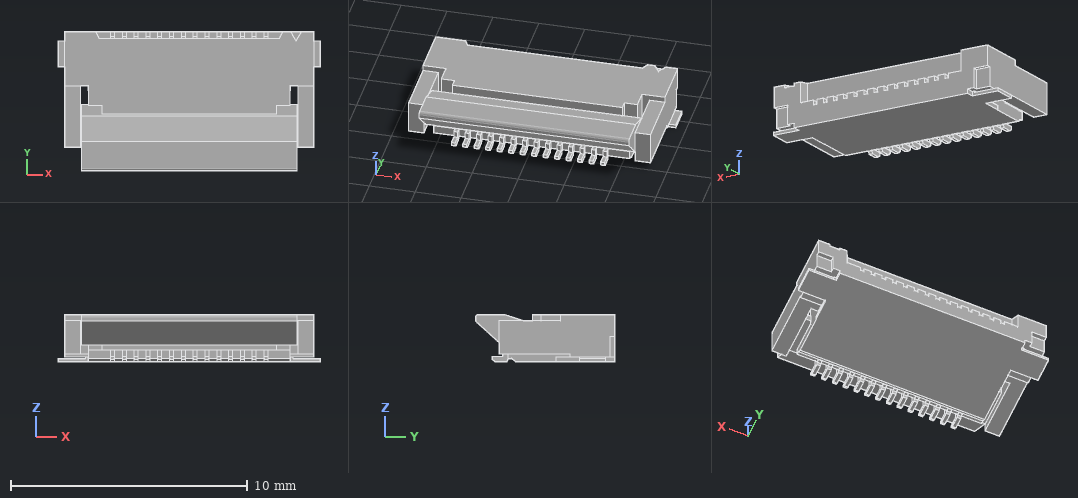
import cadquery as cq


body_width = 10.54
top_z = 2.0
body_front_y = -2.3
body_bottom_z = 0.2
arm_front_y = -4.9
arm_top_z = 1.75
arm_bottom_z = 0.33
arm_bottom_back_y = -1.9
arm_width = 0.67
tongue_width = 8.54
tongue_front_y = -3.13
nose_width = 7.4
nose_front_y = -3.5

floor_width = tongue_width
floor_top_z = 0.51
floor_front_y = -4.52
floor_flat_end_y = -4.2
floor_chamfer_end_y = -4.38
floor_nose_z = 0.148
foundation_width = 8.57
foundation_front_y = -2.5

corner_notch_depth = 0.2
corner_notch_top_z = 1.07

contact_count = 14
contact_pitch = 0.5
contact_width = 0.17
contact_x = [(i - (contact_count - 1) / 2) * contact_pitch for i in range(contact_count)]
contact_under_z = 0.12
riser_front_y = -4.75
foot_heel_y = -4.57
foot_toe_y = -5.07
foot_tip_y = -5.2
foot_top_z = 0.235
foot_bevel_z = 0.105

recess_back_width = 7.92
recess_inner_width = 7.62
recess_depth_y = 0.3
recess_floor_z = corner_notch_top_z
groove_depth = 0.2
groove_ramp_y = -0.2

mark_x = 4.52
mark_width = 0.46
mark_length = 0.4
mark_depth = 0.12

lock_width = 9.13
lock_bottom_z = 0.71
lock_bottom_front_y = -4.79
lock_front_y = -5.9
lock_front_low_z = 1.72
lock_back_y = -3.08
lock_back_z = 1.1
lock_ramp_y = -3.58
lock_ramp_z = 1.65
lock_flat_y = -4.65
lock_edge_radius = 0.11

tab_span = 11.1
tab_leg_span = 8.8
tab_back_y = -0.39
tab_front_y = -1.5
tab_thickness = 0.14


def block(x_min, x_max, y_front, y_back, z_min, z_max):
    """Axis-aligned box between the given limits."""
    size = (x_max - x_min, y_back - y_front, z_max - z_min)
    return cq.Workplane("XY").box(*size, centered=False).translate((x_min, y_front, z_min))


def centred_block(width, y_front, y_back, z_min, z_max):
    """Box lying symmetrically about X = 0."""
    return block(-width / 2, width / 2, y_front, y_back, z_min, z_max)


def side_profile(points, width, x_centre=0):
    """Closed (Y, Z) outline extruded along X, symmetric about x_centre."""
    profile = cq.Workplane("YZ").polyline(points).close().extrude(width / 2, both=True)
    return profile.translate((x_centre, 0, 0))


def make_housing():
    """Back block, stepped tongue, floor and the two side arms."""
    housing = centred_block(body_width, arm_bottom_back_y, 0, body_bottom_z, top_z)
    housing = housing.union(centred_block(body_width, body_front_y, 0, arm_bottom_z, top_z))
    housing = housing.union(centred_block(tongue_width, tongue_front_y, 0, 0, top_z))
    housing = housing.union(centred_block(nose_width, nose_front_y, 0, 0, top_z))
    housing = housing.union(centred_block(foundation_width, foundation_front_y, 0, 0, body_bottom_z))
    floor_outline = [
        (body_front_y, 0),
        (floor_flat_end_y, 0),
        (floor_chamfer_end_y, floor_nose_z),
        (floor_front_y, floor_nose_z),
        (floor_front_y, floor_top_z),
        (body_front_y, floor_top_z),
    ]
    housing = housing.union(side_profile(floor_outline, floor_width))
    arm = block(
        -body_width / 2, -body_width / 2 + arm_width,
        arm_front_y, arm_bottom_back_y, arm_bottom_z, arm_top_z,
    )
    return housing.union(arm).union(arm.mirror("YZ"))


def make_corner_notch():
    """Cutter for the left lower back corner, as wide as an arm."""
    return block(
        -body_width / 2, -body_width / 2 + arm_width,
        -corner_notch_depth, 0, body_bottom_z, corner_notch_top_z,
    )


def make_back_recess():
    """Cutter for the tapered back recess and the ramped grooves in its floor."""
    recess = (
        cq.Workplane("XY", origin=(0, 0, recess_floor_z))
        .polyline([
            (-recess_back_width / 2, 0),
            (-recess_inner_width / 2, -recess_depth_y),
            (recess_inner_width / 2, -recess_depth_y),
            (recess_back_width / 2, 0),
        ])
        .close()
        .extrude(top_z - recess_floor_z)
    )
    groove_outline = [
        (0, recess_floor_z),
        (0, recess_floor_z - groove_depth),
        (groove_ramp_y, recess_floor_z - groove_depth),
        (-recess_depth_y, recess_floor_z),
    ]
    for x in contact_x:
        recess = recess.union(side_profile(groove_outline, contact_width, x))
    return recess


def make_mark():
    """Cutter for the triangular first-contact mark."""
    return (
        cq.Workplane("XY", origin=(mark_x, 0, top_z - mark_depth))
        .polyline([(-mark_width / 2, 0), (0, -mark_length), (mark_width / 2, 0)])
        .close()
        .extrude(mark_depth)
    )


def make_lock():
    """Wedge-nosed flip lock with a rounded upper front edge."""
    lock_outline = [
        (lock_back_y, lock_bottom_z),
        (lock_back_y, lock_back_z),
        (lock_ramp_y, lock_ramp_z),
        (lock_flat_y, top_z),
        (lock_front_y, top_z),
        (lock_front_y, lock_front_low_z),
        (lock_bottom_front_y, lock_bottom_z),
    ]
    lock = side_profile(lock_outline, lock_width)
    upper_front_edge = cq.selectors.NearestToPointSelector((0, lock_front_y, top_z))
    return lock.edges(upper_front_edge).fillet(lock_edge_radius)


def make_contact(x):
    """Upright riser on the floor's front with a bevelled foot reaching forward."""
    contact_outline = [
        (floor_chamfer_end_y, contact_under_z),
        (floor_front_y, contact_under_z),
        (foot_heel_y, 0),
        (foot_toe_y, 0),
        (foot_tip_y, foot_bevel_z),
        (foot_tip_y, foot_top_z),
        (riser_front_y, foot_top_z),
        (riser_front_y, floor_top_z),
        (floor_chamfer_end_y, floor_top_z),
    ]
    return side_profile(contact_outline, contact_width, x)


def make_tabs():
    """Solder tabs on both sides, with legs up to the body's underside."""
    plate = centred_block(tab_span, tab_front_y, tab_back_y, 0, tab_thickness)
    legs = centred_block(tab_leg_span, tab_front_y, tab_back_y, 0, body_bottom_z)
    return plate.union(legs)


result = make_housing()
corner_notch = make_corner_notch()
result = result.cut(corner_notch).cut(corner_notch.mirror("YZ"))
result = result.cut(make_back_recess()).cut(make_mark())
result = result.union(make_lock()).union(make_tabs())
for x_position in contact_x:
    result = result.union(make_contact(x_position))